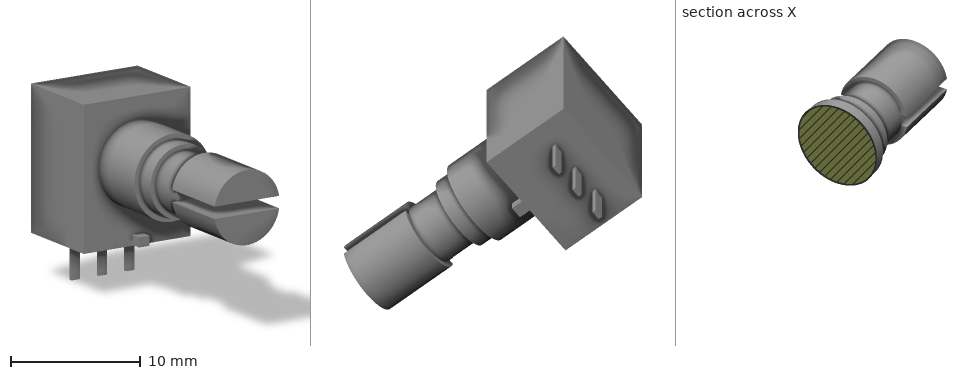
import cadquery as cq

total_length = 23.05
total_height = 15.4

body_length = 7.51
body_width = 9.8
body_height = 11.9

axis_height = 6.5
bushing_diameter = 7.0
bushing_length = 5.0
collar_diameter = 6.0
collar_length = 1.5
neck_diameter = 5.0
neck_length = 3.0
tip_diameter = 6.0
slot_width = 1.0

tab_length = 1.0
tab_width = 1.0
tab_height = 0.8
tab_bottom = 0.1

pin_count = 3
pin_pitch = 2.5
pin_width = 0.75
pin_thickness = 0.3
pin_length = total_height - body_height
pin_x = 2.51

neck_end = body_length + bushing_length + collar_length + neck_length
tip_length = total_length - neck_end


def block(length, width, height, x_start, z_start):
    """Box centred on Y, starting at the given X and Z."""
    box = cq.Workplane("XY").box(length, width, height, centered=(False, True, False))
    return box.translate((x_start, 0, z_start))


def make_shaft():
    """Stepped cylinders along X, with a slot across the whole tip."""
    steps = [
        (bushing_diameter, bushing_length),
        (collar_diameter, collar_length),
        (neck_diameter, neck_length),
        (tip_diameter, tip_length),
    ]
    shaft = cq.Workplane("YZ", origin=(body_length, 0, axis_height))
    for diameter, length in steps:
        shaft = shaft.circle(diameter / 2).extrude(length).faces(">X").workplane()
    slot = block(tip_length, tip_diameter, slot_width, neck_end, axis_height - slot_width / 2)
    return shaft.cut(slot)


def make_pins():
    """Row of flat pins hanging below the body."""
    pins = []
    for index in range(pin_count):
        y = (index - (pin_count - 1) / 2) * pin_pitch
        pin = block(pin_thickness, pin_width, pin_length, pin_x - pin_thickness / 2, -pin_length)
        pins.append(pin.translate((0, y, 0)))
    return pins


body = block(body_length, body_width, body_height, 0, 0)
tab = block(tab_length, tab_width, tab_height, body_length, tab_bottom)

result = body.union(make_shaft()).union(tab)
for pin in make_pins():
    result = result.union(pin)